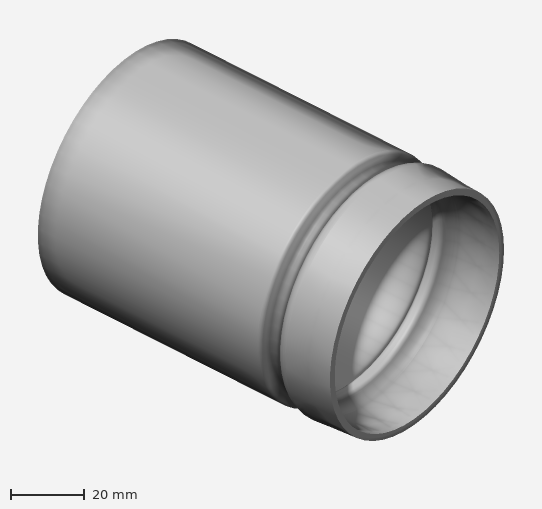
import cadquery as cq
import math

length = 101.6
tube_radius = 76.2 / 2
wall = 2.0

groove_radius = 70.3 / 2
groove_start = 77.0
bend_radius = 1.4
flank_angle = math.radians(56)
floor_width = 1.2

bead_radius = 76.4 / 2
bead_crest = 86.9
bead_foot_share = 0.3
end_radius = 37.2

bend_length = bend_radius * math.sin(flank_angle)
bend_depth = bend_radius * (1 - math.cos(flank_angle))
flank_depth = tube_radius - groove_radius - 2 * bend_depth
flank_length = flank_depth / math.tan(flank_angle)
flank_start = groove_start + bend_length
flank_end = flank_start + flank_length
floor_start = flank_end + bend_length
floor_end = floor_start + floor_width

bead_foot_end = floor_end + bead_foot_share * (bead_crest - floor_end)
bead_foot_radius = groove_radius + bead_foot_share * (bead_radius - groove_radius)


def revolved_body(inset):
    """Solid of revolution whose surface lies the given inset below the outer wall."""
    outline = (
        cq.Workplane("XY")
        .lineTo(0, tube_radius - inset)
        .lineTo(groove_start, tube_radius - inset)
        .tangentArcPoint((flank_start, tube_radius - bend_depth - inset), relative=False)
        .lineTo(flank_end, groove_radius + bend_depth - inset)
        .tangentArcPoint((floor_start, groove_radius - inset), relative=False)
        .lineTo(floor_end, groove_radius - inset)
        .tangentArcPoint((bead_foot_end, bead_foot_radius - inset), relative=False)
        .tangentArcPoint((bead_crest, bead_radius - inset), relative=False)
        .lineTo(length, end_radius - inset)
        .lineTo(length, 0)
        .close()
    )
    return outline.revolve(360, (0, 0, 0), (1, 0, 0))


result = revolved_body(0).cut(revolved_body(wall))